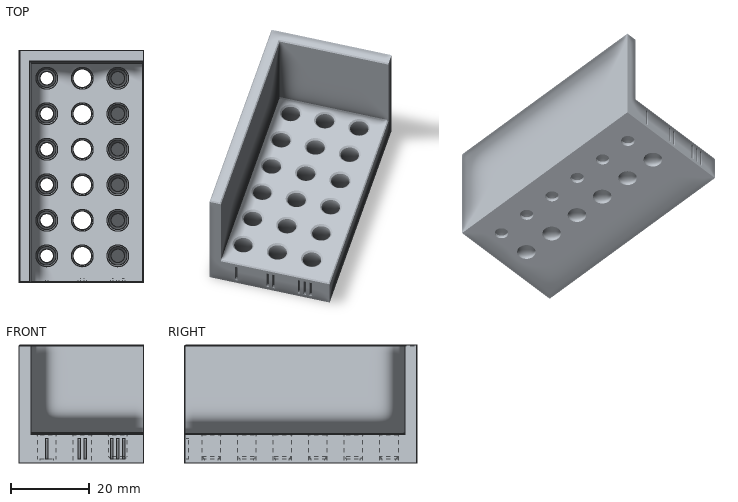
import cadquery as cq

length_x = 31.6
length_y = 58.9
height = 30.0
base_height = 7.5
side_wall = 3.0
back_wall = 3.0
edge_chamfer = 0.3
wall_foot_chamfer = 0.3

hole_pitch = 9.0
rows = 6
corner_hole_offset = 7.05
column_kinds = ["stepped", "straight", "blind"]
bore_diameter = 4.7
small_diameter = 3.4
mouth_chamfer = 0.4
bore_floor = 1.0
seat_taper = (bore_diameter - small_diameter) / 2

tally_width = 0.65
tally_pitch = 1.55
tally_margin = 1.0
tally_depth = 1.0
tally_height = 5.2

column_x = [corner_hole_offset + i * hole_pitch for i in range(len(column_kinds))]
row_y = [length_y - corner_hole_offset - i * hole_pitch for i in range(rows)]


def box(x, y, z, size_x, size_y, size_z):
    """Box with its lowest corner at (x, y, z)."""
    return cq.Workplane("XY").box(size_x, size_y, size_z, centered=False).translate((x, y, z))


def make_body():
    """Base plate with a wall along the left side and one across the back."""
    block = box(0, 0, 0, length_x, length_y, height)
    room = box(
        side_wall, 0, base_height,
        length_x - side_wall, length_y - back_wall, height - base_height,
    )
    return block.cut(room)


def chamfer_edges(body):
    """Bevel the wall tops (left, front and inner edges) and the front and right of the base plate."""
    room_center_x = (side_wall + length_x) / 2
    room_center_y = (length_y - back_wall) / 2
    wall_edge_points = [
        (0, length_y / 2, height),
        (side_wall / 2, 0, height),
        (side_wall, room_center_y, height),
        (room_center_x, length_y - back_wall, height),
    ]
    base_edge_points = [
        (room_center_x, 0, base_height),
        (length_x, room_center_y, base_height),
    ]
    edges = cq.Workplane("XY")
    for point in wall_edge_points + base_edge_points:
        edges = edges.add(body.edges(cq.selectors.NearestToPointSelector(point)))
    return cq.Workplane("XY").add(body.val().chamfer(edge_chamfer, None, edges.vals()))


def wall_foot():
    """Sloped strip filling the corner between the base plate and the back wall."""
    face_y = length_y - back_wall
    return (
        cq.Workplane("YZ", origin=(side_wall, 0, 0))
        .moveTo(face_y, base_height)
        .lineTo(face_y - wall_foot_chamfer, base_height)
        .lineTo(face_y, base_height + wall_foot_chamfer)
        .close()
        .extrude(length_x - side_wall - edge_chamfer)
    )


def bore_cutter(kind):
    """Turned cutter for one hole, its axis on Z: stepped, straight through, or blind with a tapered seat."""
    bore_radius = bore_diameter / 2
    small_radius = small_diameter / 2
    mouth_radius = bore_radius + mouth_chamfer
    upper = [(0, base_height), (mouth_radius, base_height), (bore_radius, base_height - mouth_chamfer)]
    lower = {
        "stepped": [(bore_radius, bore_floor), (small_radius, bore_floor), (small_radius, 0), (0, 0)],
        "straight": [(bore_radius, 0), (0, 0)],
        "blind": [(bore_radius, bore_floor + seat_taper), (small_radius, bore_floor), (0, bore_floor)],
    }
    return cq.Workplane("XZ").polyline(upper + lower[kind]).close().revolve(360, (0, 0), (0, 1))


def cut_holes(body):
    """Drill every row of each column with the cutter of that column."""
    for x, kind in zip(column_x, column_kinds):
        cutter = bore_cutter(kind)
        for y in row_y:
            body = body.cut(cutter.translate((x, y, 0)))
    return body


def cut_tallies(body):
    """One, two and three upright grooves, centred under the hole columns."""
    for i, x in enumerate(column_x):
        for k in range(i + 1):
            left = x + (k - i / 2) * tally_pitch - tally_width / 2
            body = body.cut(box(left, 0, tally_margin, tally_width, tally_depth, tally_height))
    return body


body = chamfer_edges(make_body()).union(wall_foot())
result = cut_tallies(cut_holes(body))